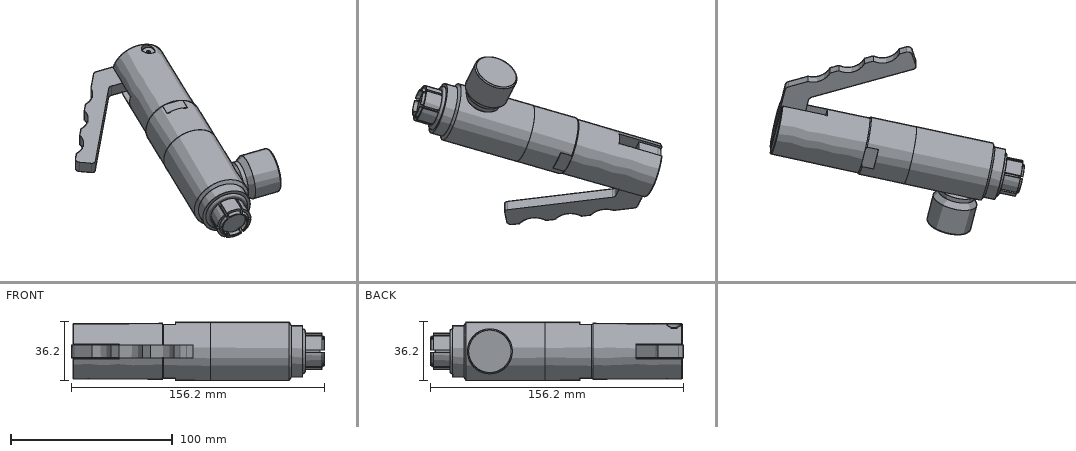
import cadquery as cq
import math


handle_start = 0.6
handle_end = 56.1
handle_small_diameter = 34.4
handle_diameter = 34.8
handle_edge = 0.5

barrel_diameter = 36.2
barrel_start_chamfer = 0.8
barrel_end = 134.3
barrel_end_cone = 1.4
sleeve_joint = 85.6
sleeve_step = 0.08

collar_diameter = 31.9
collar_end = 142.6
shoulder_diameter = 27.8
shoulder_end = 144.3
shoulder_radius = 1.5
collet_diameter = 22.7
collet_end = 154.6
nose_diameter = 19.5
nose_tip_diameter = 17.5
overall_length = 156.2
end_bore_diameter = 16.2
end_bore_depth = 2.7
collet_slot_count = 6
first_collet_slot_angle = 30
collet_slot_width = 1.4
collet_slot_floor = 7.8

flat_height = 16.7
flat_length = 8.0

port_x = 119.7
port_diameter = 27.8
port_end = 40.8
port_chamfer = 0.8
port_cone_start = 23.3
port_neck_diameter = 22.7
port_neck_start = 19.5
port_foot_start = 16.9
port_foot_diameter = 19.5
port_foot_end = 15.3

slot_width = 8.9
slot_end = 29.2
pivot_x = 6.0
pivot_y = 5.0
screw_recess_diameter = 8.3
screw_recess_floor = 14.0
screw_socket_sides = 6
screw_socket_flats = 2.3
screw_socket_depth = 1.5

lever_thickness = 8.0
lever_width = 15.6
lever_top = 15.5
lever_corner_y = -29.0
lever_radius = 3.0
lever_tip_radius = 2.0
arm_angle = math.radians(30)
arm_depth = 11.0
arm_length = 81.2
grip_height = 1.5
grip_radius = 12.0
grip_chord = 16.7
grip_pitch = 22.3
first_grip_end = 29.0
grip_count = 3


def revolved_about_x(profile):
    """Solid of revolution about the barrel axis from (x, radius) corners."""
    start_x = profile[0][0]
    end_x = profile[-1][0]
    corners = [(start_x, 0)] + profile + [(end_x, 0)]
    return cq.Workplane("XY").polyline(corners).close().revolve(360, (0, 0, 0), (1, 0, 0))


def make_barrel():
    handle_small_radius = handle_small_diameter / 2
    handle_radius = handle_diameter / 2
    barrel_radius = barrel_diameter / 2
    sleeve_radius = barrel_radius - sleeve_step
    collar_radius = collar_diameter / 2
    collet_radius = collet_diameter / 2
    body = revolved_about_x([
        (handle_start, handle_small_radius - handle_edge),
        (handle_start + handle_edge, handle_small_radius),
        (handle_end, handle_radius),
        (handle_end + barrel_start_chamfer, sleeve_radius),
        (sleeve_joint, sleeve_radius),
        (sleeve_joint, barrel_radius),
        (barrel_end, barrel_radius),
        (barrel_end + barrel_end_cone, collar_radius),
        (collar_end, collar_radius),
        (collar_end, collet_radius),
        (collet_end, collet_radius),
        (collet_end, nose_diameter / 2),
        (overall_length, nose_tip_diameter / 2),
    ])
    shoulder_length = shoulder_end - collar_end
    shoulder = (
        cq.Workplane("YZ", origin=(collar_end, 0, 0))
        .circle(shoulder_diameter / 2)
        .extrude(shoulder_length)
        .faces(">X").edges().fillet(shoulder_radius)
    )
    return body.union(shoulder)


def make_port():
    radius = port_diameter / 2
    neck_radius = port_neck_diameter / 2
    profile = [
        (0, 0),
        (port_foot_diameter / 2, 0),
        (port_foot_diameter / 2, port_foot_end),
        (neck_radius, port_foot_start),
        (neck_radius, port_neck_start),
        (radius, port_cone_start),
        (radius, port_end - port_chamfer),
        (radius - port_chamfer, port_end),
        (0, port_end),
    ]
    port = cq.Workplane("XY").polyline(profile).close().revolve(360, (0, 0, 0), (0, 1, 0))
    return port.translate((port_x, 0, 0))


def make_wrench_flat_cut(turn):
    height = barrel_diameter / 2
    return (
        cq.Workplane("XY")
        .box(flat_length, barrel_diameter, height, centered=(False, True, False))
        .translate((handle_end, 0, flat_height))
        .rotate((0, 0, 0), (1, 0, 0), turn)
    )


def make_lever_slot_cut():
    return cq.Workplane("XY").box(
        slot_end, barrel_diameter, slot_width, centered=(False, True, True)
    )


def make_screw_recess_cut():
    recess = (
        cq.Workplane("XY", origin=(pivot_x, pivot_y, screw_recess_floor))
        .circle(screw_recess_diameter / 2)
        .extrude(barrel_diameter / 2)
    )
    half_sector = 180 / screw_socket_sides
    socket_corners = screw_socket_flats / math.cos(math.radians(half_sector))
    socket = (
        cq.Workplane("XY")
        .polygon(screw_socket_sides, socket_corners)
        .extrude(-screw_socket_depth)
        .rotate((0, 0, 0), (0, 0, 1), half_sector)
        .translate((pivot_x, pivot_y, screw_recess_floor))
    )
    return recess.union(socket)


def make_collet_slot_cut(angle):
    length = overall_length - shoulder_end
    return (
        cq.Workplane("XY")
        .box(length, collet_slot_width, collet_diameter, centered=(False, True, False))
        .translate((shoulder_end, 0, collet_slot_floor))
        .rotate((0, 0, 0), (1, 0, 0), angle)
    )


def make_end_bore_cut():
    return (
        cq.Workplane("YZ", origin=(overall_length, 0, 0))
        .circle(end_bore_diameter / 2)
        .extrude(-end_bore_depth)
    )


def make_housing():
    body = make_barrel().union(make_port())
    for turn in (0, 180):
        body = body.cut(make_wrench_flat_cut(turn))
    body = body.cut(make_lever_slot_cut())
    body = body.cut(make_screw_recess_cut())
    for index in range(collet_slot_count):
        angle = first_collet_slot_angle + index * 360 / collet_slot_count
        body = body.cut(make_collet_slot_cut(angle))
    return body.cut(make_end_bore_cut())


def arm_point(along, outward):
    """XY point at a distance along the sloping arm and outward from its heel line."""
    x = along * math.cos(arm_angle) - outward * math.sin(arm_angle)
    y = lever_corner_y - along * math.sin(arm_angle) - outward * math.cos(arm_angle)
    return (x, y)


def make_lever_blank():
    tip_inner = arm_point(arm_length, -arm_depth)
    tip_outer = arm_point(arm_length, grip_height)
    first_grip_middle = first_grip_end - grip_chord / 2
    inner_y = tip_inner[1] + (tip_inner[0] - lever_width) * math.tan(arm_angle)
    outline = [
        (0, lever_top),
        (lever_width, lever_top),
        (lever_width, inner_y),
        tip_inner,
        tip_outer,
        arm_point(first_grip_middle, grip_height),
        arm_point(first_grip_middle, 0),
        (0, lever_corner_y),
    ]
    blank = (
        cq.Workplane("XY", origin=(0, 0, -lever_thickness / 2))
        .polyline(outline)
        .close()
        .extrude(lever_thickness)
    )
    rounded_corners = [
        (outline[0], lever_radius),
        (outline[2], lever_radius),
        (tip_inner, lever_tip_radius),
        (tip_outer, lever_radius),
        (outline[-1], lever_radius),
    ]
    for (x, y), radius in rounded_corners:
        blank = blank.edges(cq.selectors.NearestToPointSelector((x, y, 0))).fillet(radius)
    return blank


def make_grip_cut(index):
    half_chord = grip_chord / 2
    along = first_grip_end - half_chord + index * grip_pitch
    outward = grip_height + math.sqrt(grip_radius**2 - half_chord**2)
    x, y = arm_point(along, outward)
    return (
        cq.Workplane("XY", origin=(x, y, -lever_thickness / 2))
        .circle(grip_radius)
        .extrude(lever_thickness)
    )


def make_lever():
    lever = make_lever_blank()
    for index in range(grip_count):
        lever = lever.cut(make_grip_cut(index))
    return lever


housing = make_housing()
lever = make_lever()

result = cq.Compound.makeCompound([housing.val(), lever.val()])